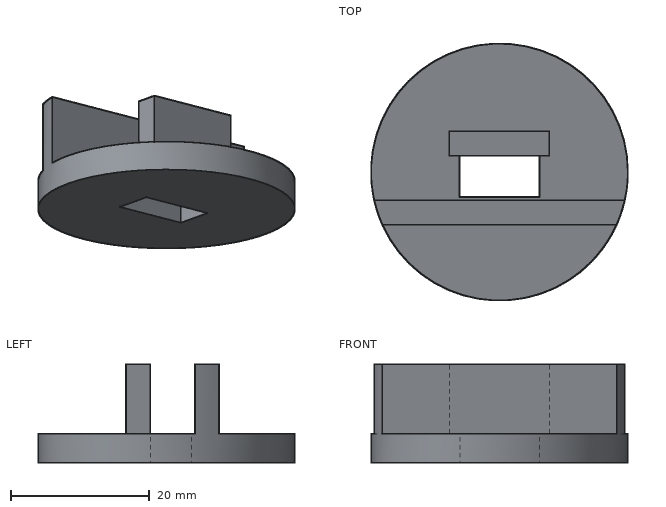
import cadquery as cq

base_diameter = 37.0
base_thickness = 4.2
total_height = 14.2
wall_height = total_height - base_thickness
wall_thickness = 3.5

long_wall_back_y = -4.07

wall_gap = 6.4
short_wall_length = 14.4
short_wall_front_y = long_wall_back_y + wall_gap

window_length = 11.5
window_front_y = -3.6
window_back_y = short_wall_front_y
window_width = window_back_y - window_front_y


def wall(length, front_y):
    """Upright wall centred on X, standing on the base with its front face at front_y."""
    return (
        cq.Workplane("XY")
        .box(length, wall_thickness, wall_height, centered=(True, False, False))
        .translate((0, front_y, base_thickness))
    )


def disk(height):
    """Cylinder with the base diameter, rising from the underside of the base."""
    return cq.Workplane("XY").circle(base_diameter / 2).extrude(height)


long_wall = wall(base_diameter, long_wall_back_y - wall_thickness).intersect(disk(total_height))
short_wall = wall(short_wall_length, short_wall_front_y)

window = (
    cq.Workplane("XY")
    .box(window_length, window_width, total_height, centered=(True, False, False))
    .translate((0, window_front_y, 0))
)

result = disk(base_thickness).union(long_wall).union(short_wall).cut(window)